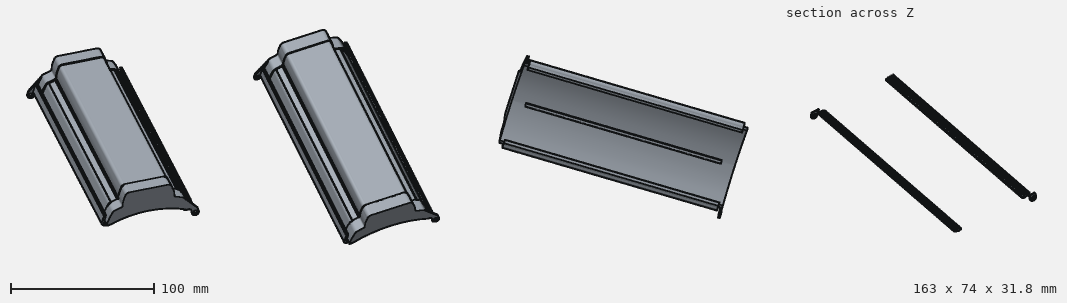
import cadquery as cq

length = 163.0
height = 31.8
width = 74.0

cap_length = 10.0
rail_setback = 3.1
body_length = length - 2 * cap_length
rail_length = length - 2 * rail_setback

crown_half_width = 13.9
round_bottom_z = 29.0
arch_top_z = 12.0
foot_z = 6.2
foot_inner_y = 28.7

body_top_z = height - 1.0
strip_depth = 0.5
strip_inner_y = 19.5
strip_inner_z = 19.0
strip_outer_y = 24.0
strip_outer_z = 17.6

join_overlap = 0.5

keel_width = 2.5
keel_bottom_z = 10.3

rail_top_z = 13.2
rail_bottom_z = 3.5
rail_bevel = 0.5
rail_bevel_y = 31.3
hook_top_z = 5.4
stem_outer_y = 30.2

ear_thickness = 1.1
ear_radius = 2.6
ear_hole_diameter = 3.0
ear_y = width / 2 - ear_radius
ear_z = ear_radius


def section(x_start):
    """Workplane across the part: local x is Y, local y is Z, extruding toward +X."""
    return cq.Workplane("YZ", origin=(x_start, 0, 0))


def both_sides(half):
    """Join a +Y half to its mirror image."""
    return half.union(half.mirror("XZ"))


def close_under_arch(outline):
    """Finish a half outline along the foot and the arched underside."""
    return outline.lineTo(foot_inner_y, foot_z).threePointArc((14.5, 10.6), (0, arch_top_z)).close()


def end_cap(x_start):
    outline = (
        section(x_start)
        .moveTo(0, height)
        .lineTo(crown_half_width, height)
        .threePointArc((16.1, 31.0), (17.3, round_bottom_z))
        .threePointArc((18.6, 25.1), (19.0, 21.0))
        .tangentArcPoint((19.9, 19.9), relative=False)
        .lineTo(24.6, 18.3)
        .threePointArc((25.8, 17.6), (26.5, 16.6))
        .tangentArcPoint((30.6, 7.2), relative=False)
        .lineTo(30.6, foot_z)
    )
    return both_sides(close_under_arch(outline).extrude(cap_length))


def body():
    outline = (
        section(-body_length / 2)
        .moveTo(0, body_top_z)
        .lineTo(crown_half_width, body_top_z)
        .threePointArc((15.8, 30.3), (16.8, round_bottom_z))
        .threePointArc((18.1, 24.6), (18.6, 20.0))
        .lineTo(strip_inner_y - strip_depth, strip_inner_z)
        .lineTo(strip_inner_y, strip_inner_z)
        .lineTo(strip_inner_y, strip_inner_z - strip_depth)
        .lineTo(strip_outer_y, strip_outer_z - strip_depth)
        .lineTo(strip_outer_y + strip_depth, strip_outer_z)
        .threePointArc((25.5, 16.8), (26.2, 15.5))
        .tangentArcPoint((30.2, foot_z), relative=False)
    )
    return both_sides(close_under_arch(outline).extrude(body_length))


def rails():
    """Upright lip outside a narrow slot, curling under into a hook, hung from the foot."""
    stem_top_z = foot_z + join_overlap
    half = (
        section(-rail_length / 2)
        .moveTo(stem_outer_y, rail_top_z)
        .lineTo(rail_bevel_y, rail_top_z)
        .lineTo(rail_bevel_y + rail_bevel, rail_top_z - rail_bevel)
        .lineTo(33.5, 6.7)
        .threePointArc((32.8, 4.9), (30.8, 4.0))
        .lineTo(29.0, rail_bottom_z)
        .lineTo(27.2, 3.9)
        .threePointArc((26.7, 4.7), (27.2, hook_top_z))
        .lineTo(foot_inner_y, hook_top_z)
        .lineTo(foot_inner_y, stem_top_z)
        .lineTo(stem_outer_y, stem_top_z)
        .lineTo(30.5, 5.5)
        .lineTo(31.8, 5.9)
        .lineTo(31.6, 7.8)
        .close()
        .extrude(rail_length)
    )
    return both_sides(half)


def keel():
    keel_height = arch_top_z - keel_bottom_z + join_overlap
    return (
        cq.Workplane("XY", origin=(0, 0, keel_bottom_z))
        .rect(body_length, keel_width)
        .extrude(keel_height)
    )


def ear(x_start):
    """Thin end plate on the +Y side, reaching down to a rounded eye with a hole."""
    arm = (
        section(x_start)
        .moveTo(25.9, 17.3)
        .lineTo(36.0, 6.2)
        .lineTo(ear_y + ear_radius, ear_z)
        .lineTo(ear_y - ear_radius, ear_z)
        .lineTo(31.6, 3.7)
        .threePointArc((31.3, 5.2), (30.2, foot_z))
        .lineTo(foot_inner_y, foot_z)
        .close()
        .extrude(ear_thickness)
    )
    eye = section(x_start).center(ear_y, ear_z).circle(ear_radius).extrude(ear_thickness)
    hole = section(x_start).center(ear_y, ear_z).circle(ear_hole_diameter / 2).extrude(ear_thickness)
    return arm.union(eye).cut(hole)


far_ear = ear(length / 2 - ear_thickness)
near_ear = far_ear.rotate((0, 0, 0), (0, 0, 1), 180)

result = (
    body()
    .union(end_cap(-length / 2))
    .union(end_cap(length / 2 - cap_length))
    .union(rails())
    .union(keel())
    .union(far_ear)
    .union(near_ear)
    .clean()
)